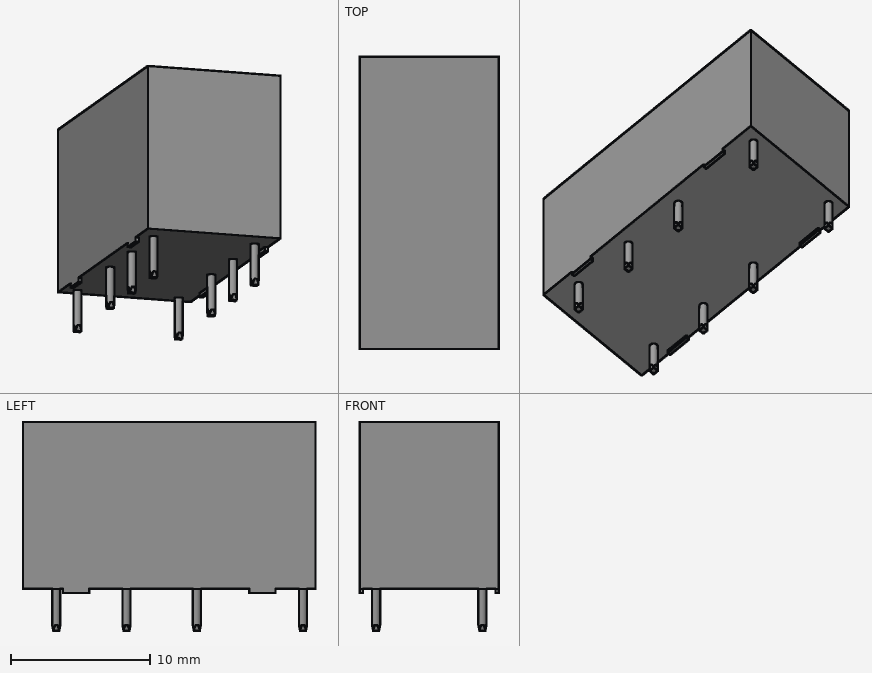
import cadquery as cq

body_width = 10.0
body_length = 21.0
body_height = 12.0

foot_thickness = 0.25
foot_length = 1.9
foot_height = 0.3
foot_center_y = 6.68

row_spacing = 7.63
pin_diameter = 0.6
pin_length = 3.0
pin_positions_y = (-9.6, -1.98, 3.07, 8.11)

tip_height = 0.45
tip_end_side = 0.42


def make_body():
    return cq.Workplane("XY").box(body_width, body_length, body_height, centered=(True, True, False))


def make_feet():
    foot_x = (body_width - foot_thickness) / 2
    centers = [(side * foot_x, end * foot_center_y) for side in (-1, 1) for end in (-1, 1)]
    return cq.Workplane("XY").pushPoints(centers).rect(foot_thickness, foot_length).extrude(-foot_height)


def make_pin():
    """One round pin, pointing down from the origin, with a four-sided tapered tip."""
    shaft = cq.Workplane("XY").circle(pin_diameter / 2).extrude(-pin_length)
    tip_top_z = tip_height - pin_length
    straight = (
        cq.Workplane("XY")
        .workplane(offset=tip_top_z)
        .rect(pin_diameter, pin_diameter)
        .extrude(-tip_top_z)
    )
    taper = (
        cq.Workplane("XY")
        .workplane(offset=-pin_length)
        .rect(tip_end_side, tip_end_side)
        .workplane(offset=tip_height)
        .rect(pin_diameter, pin_diameter)
        .loft(ruled=True)
    )
    return shaft.intersect(straight.union(taper))


result = make_body().union(make_feet())
pin = make_pin()
for row_x in (-row_spacing / 2, row_spacing / 2):
    for pin_y in pin_positions_y:
        result = result.union(pin.translate((row_x, pin_y, 0)))